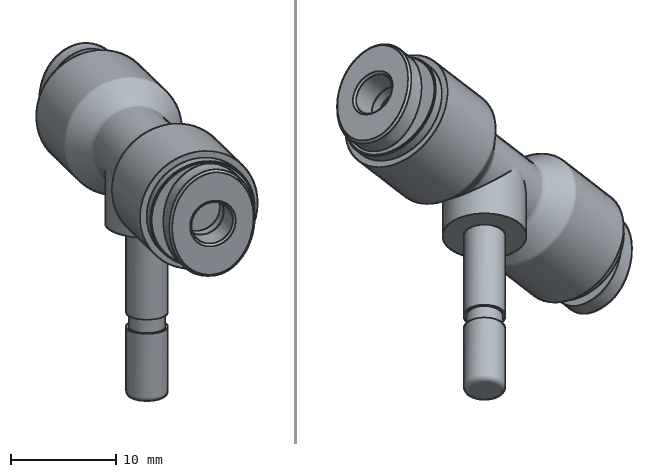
import cadquery as cq
LENGTH = 37.0
HEIGHT = 29.95

HOUSING_END_X = 14.58
BARREL_D = 11.9
BARREL_INNER_X = 6.6
RUN_D = 8.0
CONE_INNER_X = 4.07
BARREL_CONE_FILLET = 0.48
CONE_RUN_FILLET = 0.6

SELECT_MARGIN = 0.05

BOSS_D = RUN_D
BOSS_BOTTOM_Z = -6.48

STEM_D = 4.0
STEM_BOTTOM_Z = BARREL_D / 2 - HEIGHT
STEM_END_FILLET = 0.5
GROOVE_D = 3.5
GROOVE_TOP_Z = -15.55
GROOVE_BOTTOM_Z = -17.0

SLEEVE_D = 10.6
SLEEVE_OUTER_X = 15.7
SLEEVE_CHAMFER = 0.1
SLEEVE_BORE_D = 4.2

NECK_D = 5.5
BUTTON_BORE_D = 4.18
BORE_CHAMFER = 0.22
FLANGE_THICKNESS = 1.92
FLANGE_HEIGHT = 10.8
FLANGE_WIDTH = 8.65
SHOULDER_Y = 2.7
SHOULDER_Z = 4.25
FLANGE_CHAMFER = 0.22


def x_cylinder(diameter, start_x, end_x):
    """Solid cylinder on the X axis between two X positions."""
    return cq.Workplane("YZ", origin=(start_x, 0, 0)).circle(diameter / 2).extrude(end_x - start_x)


def z_cylinder(diameter, bottom_z, top_z):
    """Solid cylinder on the Z axis between two heights."""
    return cq.Workplane("XY", origin=(0, 0, bottom_z)).circle(diameter / 2).extrude(top_z - bottom_z)


def fillet_circle_at(body, x, radius):
    """Round the circular edge that lies at one X position."""
    near = cq.selectors.BoxSelector(
        (x - SELECT_MARGIN, -BARREL_D, -BARREL_D),
        (x + SELECT_MARGIN, BARREL_D, BARREL_D),
    )
    return body.edges(near).fillet(radius)


def make_run():
    """Two barrels joined by a narrower run, blended through cones."""
    run = (
        cq.Workplane("XY")
        .moveTo(-HOUSING_END_X, 0)
        .lineTo(-HOUSING_END_X, BARREL_D / 2)
        .lineTo(-BARREL_INNER_X, BARREL_D / 2)
        .lineTo(-CONE_INNER_X, RUN_D / 2)
        .lineTo(CONE_INNER_X, RUN_D / 2)
        .lineTo(BARREL_INNER_X, BARREL_D / 2)
        .lineTo(HOUSING_END_X, BARREL_D / 2)
        .lineTo(HOUSING_END_X, 0)
        .close()
        .revolve(360, (0, 0, 0), (1, 0, 0))
    )
    for side in (-1, 1):
        run = fillet_circle_at(run, side * BARREL_INNER_X, BARREL_CONE_FILLET)
        run = fillet_circle_at(run, side * CONE_INNER_X, CONE_RUN_FILLET)
    return run


def make_stem():
    """Plug-in stem with a rounded lower end and a retaining groove."""
    stem = z_cylinder(STEM_D, STEM_BOTTOM_Z, BOSS_BOTTOM_Z).faces("<Z").edges().fillet(STEM_END_FILLET)
    groove = z_cylinder(STEM_D, GROOVE_BOTTOM_Z, GROOVE_TOP_Z).cut(
        z_cylinder(GROOVE_D, GROOVE_BOTTOM_Z, GROOVE_TOP_Z)
    )
    return stem.cut(groove)


def make_housing():
    """One-piece tee: run, boss and stem."""
    boss = z_cylinder(BOSS_D, BOSS_BOTTOM_Z, 0)
    return make_run().union(boss).union(make_stem())


def make_sleeve():
    """Ring at the -X end, whose bore carries on from the button bore."""
    sleeve = x_cylinder(SLEEVE_D, -SLEEVE_OUTER_X, -HOUSING_END_X)
    sleeve = sleeve.faces("<X").edges().chamfer(SLEEVE_CHAMFER)
    return sleeve.cut(x_cylinder(SLEEVE_BORE_D, -SLEEVE_OUTER_X, -HOUSING_END_X))


def make_flange():
    """Oval flange: one smooth closed curve, symmetric about both axes."""
    half_height = FLANGE_HEIGHT / 2
    half_width = FLANGE_WIDTH / 2
    oval_points = [
        (0, -half_height),
        (SHOULDER_Y, -SHOULDER_Z),
        (half_width, 0),
        (SHOULDER_Y, SHOULDER_Z),
        (0, half_height),
        (-SHOULDER_Y, SHOULDER_Z),
        (-half_width, 0),
        (-SHOULDER_Y, -SHOULDER_Z),
    ]
    flange = (
        cq.Workplane("YZ", origin=(-LENGTH / 2, 0, 0))
        .spline(oval_points, periodic=True)
        .close()
        .extrude(FLANGE_THICKNESS)
    )
    return flange.faces("<X").edges().chamfer(FLANGE_CHAMFER)


def make_button():
    """Release button at the -X end, with a chamfered tube bore."""
    outer_x = -LENGTH / 2
    neck = x_cylinder(NECK_D, outer_x + FLANGE_THICKNESS, -SLEEVE_OUTER_X)
    button = make_flange().union(neck).cut(x_cylinder(BUTTON_BORE_D, outer_x, -SLEEVE_OUTER_X))
    bore_rim = button.faces("<X").edges("%CIRCLE").edges(cq.selectors.RadiusNthSelector(0))
    return bore_rim.chamfer(BORE_CHAMFER)


housing = make_housing()

end_bodies = []
for turn in (0, 180):
    for make_body in (make_sleeve, make_button):
        end_bodies.append(make_body().rotate((0, 0, 0), (0, 0, 1), turn).solids().val())

result = cq.Compound.makeCompound([housing.solids().val(), *end_bodies])